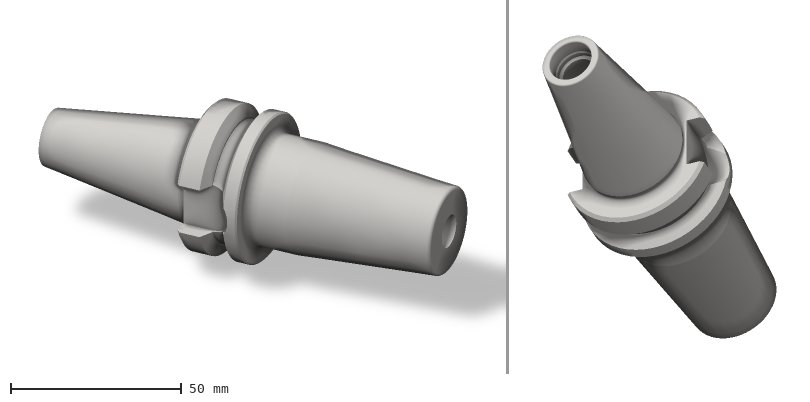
import cadquery as cq
import math


gauge_diameter = 31.75
taper_rate = 7 / 24
taper_length = 48.4
tail_diameter = gauge_diameter - taper_rate * taper_length
tail_fillet = 0.5

relief_diameter = 31.2
relief_start_x = 0.9
relief_fillet = 0.5

flange_diameter = 46.0
flange_back_x = 2.0
flange_front_x = 22.0
back_chamfer = 1.0
front_chamfer = 0.5

groove_center_x = 13.6
groove_floor_diameter = 37.7
groove_floor_width = 3.8
flank_foot_diameter = 38.5
flank_angle = 30.0
flank_length = (flange_diameter - flank_foot_diameter) / 2 * math.tan(math.radians(flank_angle))
groove_mouth_width = groove_floor_width + 2 * flank_length

neck_diameter = 34.0
neck_fillet = 2.0
nose_taper_x = 35.55
nose_diameter = 27.0
nose_x = 80.0
nose_fillet = 1.0

slot_width = 15.88
slot_end_x = 19.1
slot_floor_offset = 16.4

pilot_diameter = 13.1
pilot_depth = 5.0
inner_diameter = 12.5
inner_depth = 7.0
through_diameter = 10.11
mouth_fillet = 0.5
step_length = 0.5


def make_body():
    """Revolve the outer profile, with (x, radius) points, about the X axis."""
    tail_x = -taper_length
    flange_radius = flange_diameter / 2
    relief_radius = relief_diameter / 2
    neck_radius = neck_diameter / 2
    mouth_back_x = groove_center_x - groove_mouth_width / 2
    mouth_front_x = groove_center_x + groove_mouth_width / 2
    floor_back_x = groove_center_x - groove_floor_width / 2
    floor_front_x = groove_center_x + groove_floor_width / 2
    profile = (
        cq.Workplane("XZ")
        .moveTo(tail_x, 0)
        .lineTo(tail_x, tail_diameter / 2)
        .lineTo(0, gauge_diameter / 2)
        .lineTo(relief_start_x, relief_radius)
        .lineTo(flange_back_x - relief_fillet, relief_radius)
        .radiusArc((flange_back_x, relief_radius + relief_fillet), -relief_fillet)
        .lineTo(flange_back_x, flange_radius - back_chamfer)
        .lineTo(flange_back_x + back_chamfer, flange_radius)
        .lineTo(mouth_back_x, flange_radius)
        .lineTo(floor_back_x, flank_foot_diameter / 2)
        .lineTo(floor_back_x, groove_floor_diameter / 2)
        .lineTo(floor_front_x, groove_floor_diameter / 2)
        .lineTo(floor_front_x, flank_foot_diameter / 2)
        .lineTo(mouth_front_x, flange_radius)
        .lineTo(flange_front_x - front_chamfer, flange_radius)
        .lineTo(flange_front_x, flange_radius - front_chamfer)
        .lineTo(flange_front_x, neck_radius + neck_fillet)
        .radiusArc((flange_front_x + neck_fillet, neck_radius), -neck_fillet)
        .lineTo(nose_taper_x, neck_radius)
        .lineTo(nose_x, nose_diameter / 2)
        .lineTo(nose_x, 0)
        .close()
    )
    body = profile.revolve(360, (0, 0, 0), (1, 0, 0))
    body = body.faces("<X").edges().fillet(tail_fillet)
    return body.faces(">X").edges().fillet(nose_fillet)


def make_bore():
    """Stepped bore cutter running the full length along X."""
    tail_x = -taper_length
    step_x = tail_x + pilot_depth
    profile = (
        cq.Workplane("XZ")
        .moveTo(tail_x, 0)
        .lineTo(tail_x, pilot_diameter / 2 + mouth_fillet)
        .radiusArc((tail_x + mouth_fillet, pilot_diameter / 2), -mouth_fillet)
        .lineTo(step_x, pilot_diameter / 2)
        .lineTo(step_x + step_length, inner_diameter / 2)
        .lineTo(tail_x + inner_depth, inner_diameter / 2)
        .lineTo(tail_x + inner_depth, through_diameter / 2)
        .lineTo(nose_x, through_diameter / 2)
        .lineTo(nose_x, 0)
        .close()
    )
    return profile.revolve(360, (0, 0, 0), (1, 0, 0))


def make_drive_slot(side):
    """Round-ended slot cutter on the +Y (side = 1) or -Y (side = -1) side of the flange."""
    slot_radius = slot_width / 2
    slot_center_x = slot_end_x - slot_radius
    slot_depth = flange_diameter / 2 - slot_floor_offset
    return (
        cq.Workplane("XZ", origin=(0, side * slot_floor_offset, 0))
        .moveTo(flange_back_x, -slot_radius)
        .lineTo(slot_center_x, -slot_radius)
        .threePointArc((slot_end_x, 0), (slot_center_x, slot_radius))
        .lineTo(flange_back_x, slot_radius)
        .close()
        .extrude(-side * slot_depth)
    )


result = make_body().cut(make_bore())
for side in (1, -1):
    result = result.cut(make_drive_slot(side))